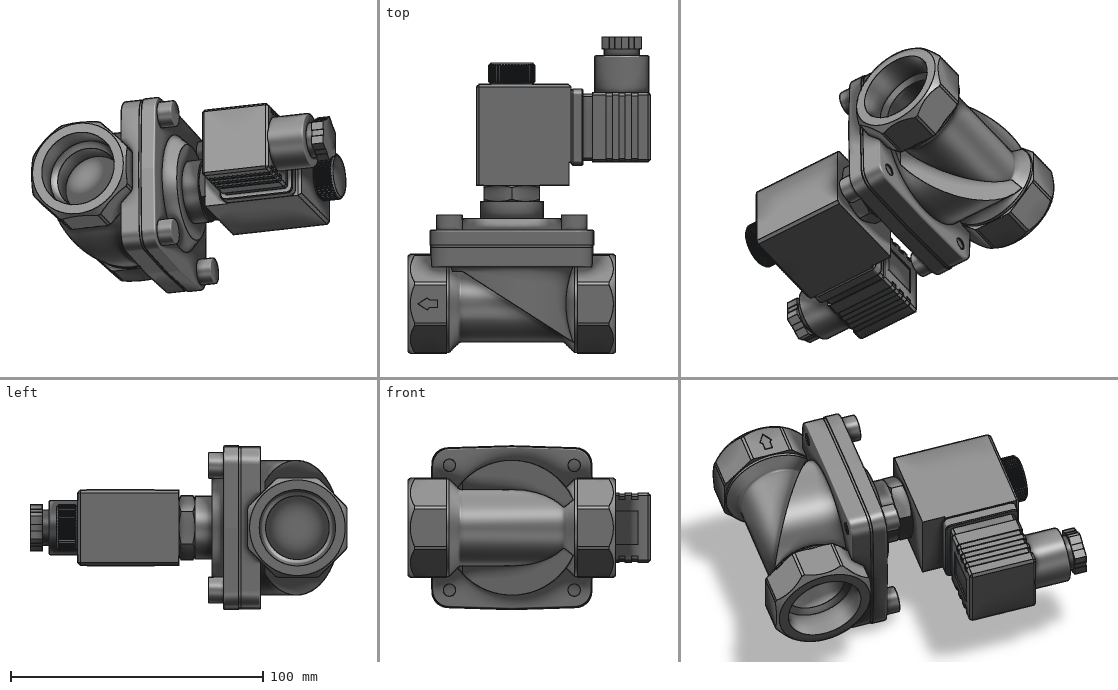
import cadquery as cq
import math


PORT_HALF_LENGTH = 41.1
PORT_LENGTH = 15.2
PORT_ACROSS_FLATS = 39.4
PORT_EDGE_RADIUS = 21.1
PORT_FACE_RADIUS = 19.0
PORT_CHAMFER_LENGTH = 2.6
PORT_COLLAR_RADIUS = 19.3
PORT_COLLAR_LENGTH = 1.1
PIPE_RADIUS = 15.12
PIPE_CONE_LENGTH = 4.3
PIPE_CONE_BLEND = 0.5
BORE_DIAMETER = 25.2
BORE_MOUTH_DIAMETER = 30.2
BORE_MOUTH_DEPTH = 10.9
BORE_CONE_LENGTH = 1.5
BORE_DEPTH = 22.6

CHAMBER_DIAMETER = 53.5
CHAMBER_LEDGE_Y = 12.8
CHAMBER_SLOPE_START_X = -19.5
CHAMBER_SLOPE_END = (24.6, -15.4)

COVER_HALF_WIDTH = 32.5
FLANGE_HALF_WIDTH = 32.2
SEAM_HALF_WIDTH = 32.1
FLANGE_BOW = 1.0
FLANGE_CORNER_RADIUS = 6.5
FLANGE_EDGE = 0.8
FLANGE_BOTTOM_Y = 14.5
FLANGE_TOP_Y = 22.3
COVER_BOTTOM_Y = 23.3
COVER_TOP_Y = 29.2

DOME_BASE_RADIUS = 23.5
DOME_TOP_RADIUS = 19.1
DOME_TOP_Y = 33.9
NECK_DIAMETER = 25.0
NECK_TOP_Y = 40.5
HEX_ACROSS_FLATS = 22.1
HEX_CHAMFER = 0.9

SCREW_OFFSET = 24.7
SCREW_HEAD_DIAMETER = 10.3
SCREW_HEAD_TOP_Y = 35.3
SCREW_HEAD_EDGE = 0.5
SCREW_HOLE_DIAMETER = 4.9
SCREW_HOLE_DEPTH = 0.5

ARROW_TIP_X = -37.3
ARROW_HEAD_X = -33.5
ARROW_NECK_X = -32.6
ARROW_TAIL_X = -29.5
ARROW_HEAD_HALF_WIDTH = 2.4
ARROW_SHAFT_HALF_WIDTH = 1.5
ARROW_DEPTH = 0.3

COIL_LEFT_X = -14.0
COIL_RIGHT_X = 22.7
COIL_BOTTOM_Y = 46.9
COIL_TOP_Y = 87.0
COIL_WIDTH = 29.9
COIL_CHAMFER = 1.1
PAD_THICKNESS = 0.8
PAD_BOTTOM_Y = 56.1

KNOB_RADIUS = 9.2
KNOB_HEIGHT = 8.4
KNOB_TEETH = 44
KNOB_TOOTH_DEPTH = 0.4
KNOB_CHAMFER = 1.0

PLUG_CENTRE_Y = 70.0
GASKET_THICKNESS = 4.6
GASKET_SIZE = 30.2
GASKET_CORNER = 2.4
GASKET_CHAMFER = 0.8
GASKET_REAR_CHAMFER = 0.4
SPIGOT_LENGTH = 3.9
SPIGOT_SIZE = 26.3
SHELL_RIGHT_X = 55.0
SHELL_SIZE = 27.6
SHELL_CHAMFER = 1.0
GROOVE_FIRST_X = 37.4
GROOVE_PITCH = 5.0
GROOVE_WIDTH = 2.5
GROOVE_COUNT = 3
GROOVE_DEPTH = 0.4
GROOVE_INNER_Z = 11.2
RECESS_LEFT_X = 34.7
RECESS_RIGHT_X = 49.9
RECESS_WIDTH = 13.3
RECESS_DEPTH = 0.6

GLAND_X = 43.5
BARREL_DIAMETER = 21.6
BARREL_TOP_Y = 98.4
BARREL_FILLET = 0.8
GLAND_NECK_DIAMETER = 14.0
GLAND_NUT_BOTTOM_Y = 101.0
GLAND_NUT_TOP_Y = 105.8
GLAND_NUT_ACROSS_FLATS = 15.8
GLAND_NUT_SLOT_WIDTH = 2.5
GLAND_NUT_SLOT_DEPTH = 0.3


def level(y, x=0):
    """Horizontal workplane at height y, drawn in (X, Z); a negative extrusion goes up."""
    return cq.Workplane("XZ", origin=(x, y, 0))


def upright_cylinder(diameter, bottom_y, top_y, x=0):
    return level(bottom_y, x).circle(diameter / 2).extrude(bottom_y - top_y)


def upright_hexagon(across_flats, bottom_y, top_y, x=0):
    """Hexagonal prism with flats facing -X and +X."""
    corner_diameter = across_flats / math.cos(math.pi / 6)
    prism = level(bottom_y).polygon(6, corner_diameter).extrude(bottom_y - top_y)
    return prism.rotate((0, 0, 0), (0, 1, 0), 30).translate((x, 0, 0))


def along_x(left_x, right_x, centre_y, height, width):
    """Block from left_x to right_x, centred on centre_y and Z = 0."""
    block = cq.Workplane("YZ", origin=(left_x, centre_y, 0))
    return block.rect(height, width).extrude(right_x - left_x)


def port_end():
    """Turned and octagonal end on the -X side, with its cone down to the pipe."""
    face_x = -PORT_HALF_LENGTH
    inner_x = face_x + PORT_LENGTH
    cone_x = inner_x + PORT_COLLAR_LENGTH
    pipe_x = cone_x + PIPE_CONE_LENGTH
    slope = math.atan2(PORT_COLLAR_RADIUS - PIPE_RADIUS, PIPE_CONE_LENGTH)
    turned = (
        cq.Workplane("XY")
        .moveTo(face_x, 0)
        .lineTo(face_x, PORT_FACE_RADIUS)
        .lineTo(face_x + PORT_CHAMFER_LENGTH, PORT_EDGE_RADIUS)
        .lineTo(inner_x, PORT_EDGE_RADIUS)
        .lineTo(inner_x, 0)
        .close()
        .revolve(360, (0, 0, 0), (1, 0, 0))
    )
    octagon = (
        cq.Workplane("YZ", origin=(face_x, 0, 0))
        .polygon(8, PORT_ACROSS_FLATS / math.cos(math.pi / 8))
        .extrude(PORT_LENGTH)
        .rotate((0, 0, 0), (1, 0, 0), 22.5)
    )
    cone = (
        cq.Workplane("XY")
        .moveTo(inner_x, 0)
        .lineTo(inner_x, PORT_COLLAR_RADIUS)
        .lineTo(cone_x, PORT_COLLAR_RADIUS)
        .lineTo(pipe_x - PIPE_CONE_BLEND * math.cos(slope), PIPE_RADIUS + PIPE_CONE_BLEND * math.sin(slope))
        .tangentArcPoint((pipe_x + PIPE_CONE_BLEND, PIPE_RADIUS), relative=False)
        .lineTo(pipe_x + PIPE_CONE_BLEND, 0)
        .close()
        .revolve(360, (0, 0, 0), (1, 0, 0))
    )
    return turned.intersect(octagon).union(cone)


def port_bore():
    """Blind bore of the -X port: a wide mouth that tapers to a narrower end."""
    face_x = -PORT_HALF_LENGTH
    mouth_radius = BORE_MOUTH_DIAMETER / 2
    end_radius = BORE_DIAMETER / 2
    return (
        cq.Workplane("XY")
        .moveTo(face_x, 0)
        .lineTo(face_x, mouth_radius)
        .lineTo(face_x + BORE_MOUTH_DEPTH, mouth_radius)
        .lineTo(face_x + BORE_MOUTH_DEPTH + BORE_CONE_LENGTH, end_radius)
        .lineTo(face_x + BORE_DEPTH, end_radius)
        .lineTo(face_x + BORE_DEPTH, 0)
        .close()
        .revolve(360, (0, 0, 0), (1, 0, 0))
    )


def chamber():
    """Round chamber under the flange, cut off by a slope that meets the pipe."""
    radius = CHAMBER_DIAMETER / 2
    end_x, end_y = CHAMBER_SLOPE_END
    side = (
        cq.Workplane("XY")
        .polyline([
            (-radius, FLANGE_BOTTOM_Y),
            (-radius, CHAMBER_LEDGE_Y),
            (CHAMBER_SLOPE_START_X, CHAMBER_LEDGE_Y),
            (end_x, end_y),
            (radius, end_y),
            (radius, FLANGE_BOTTOM_Y),
        ])
        .close()
        .extrude(radius, both=True)
    )
    return side.intersect(upright_cylinder(CHAMBER_DIAMETER, CHAMBER_SLOPE_END[1], FLANGE_BOTTOM_Y))


def flange_plate(half_width, bottom_y, top_y):
    """Square plate whose sides bow out slightly to a ridge in the middle."""
    middle = half_width
    corner = middle - FLANGE_BOW
    outline = [
        (middle, 0), (corner, corner), (0, middle), (-corner, corner),
        (-middle, 0), (-corner, -corner), (0, -middle), (corner, -corner),
    ]
    plate = level(bottom_y).polyline(outline).close().extrude(bottom_y - top_y)
    for x in (-corner, corner):
        for z in (-corner, corner):
            near_corner = cq.selectors.NearestToPointSelector((x, (bottom_y + top_y) / 2, z))
            plate = plate.edges("|Y").edges(near_corner).fillet(FLANGE_CORNER_RADIUS)
    return plate


def dome():
    cone = cq.Solid.makeCone(
        DOME_BASE_RADIUS, DOME_TOP_RADIUS, DOME_TOP_Y - COVER_TOP_Y,
        cq.Vector(0, COVER_TOP_Y, 0), cq.Vector(0, 1, 0),
    )
    return cq.Workplane(cone)


def neck():
    """Round neck and the chamfered hexagon on which the coil rests."""
    hexagon = upright_hexagon(HEX_ACROSS_FLATS, NECK_TOP_Y, COIL_BOTTOM_Y)
    envelope = upright_cylinder(HEX_ACROSS_FLATS / math.cos(math.pi / 6), NECK_TOP_Y, COIL_BOTTOM_Y)
    hexagon = hexagon.intersect(envelope.faces("<Y or >Y").chamfer(HEX_CHAMFER, 2 * HEX_CHAMFER))
    return upright_cylinder(NECK_DIAMETER, DOME_TOP_Y, NECK_TOP_Y).union(hexagon)


def screw_spots():
    return [(x, z) for x in (-SCREW_OFFSET, SCREW_OFFSET) for z in (-SCREW_OFFSET, SCREW_OFFSET)]


def screw_heads():
    heads = level(COVER_TOP_Y).pushPoints(screw_spots()).circle(SCREW_HEAD_DIAMETER / 2)
    return heads.extrude(COVER_TOP_Y - SCREW_HEAD_TOP_Y).faces(">Y").edges().fillet(SCREW_HEAD_EDGE)


def screw_holes():
    holes = level(FLANGE_BOTTOM_Y).pushPoints(screw_spots()).circle(SCREW_HOLE_DIAMETER / 2)
    return holes.extrude(-SCREW_HOLE_DEPTH)


def flow_arrow():
    """Arrow sunk in the +Z flat of the -X port, pointing to -X."""
    upper_half = [
        (ARROW_HEAD_X, ARROW_HEAD_HALF_WIDTH),
        (ARROW_NECK_X, ARROW_SHAFT_HALF_WIDTH),
        (ARROW_TAIL_X, ARROW_SHAFT_HALF_WIDTH),
    ]
    lower_half = [(x, -y) for x, y in reversed(upper_half)]
    arrow = cq.Workplane("XY", origin=(0, 0, PORT_ACROSS_FLATS / 2))
    return arrow.polyline([(ARROW_TIP_X, 0)] + upper_half + lower_half).close().extrude(-ARROW_DEPTH)


def make_valve():
    pipe = cq.Workplane("YZ").circle(PIPE_RADIUS).extrude(PORT_HALF_LENGTH - PORT_LENGTH, both=True)
    flange = flange_plate(FLANGE_HALF_WIDTH, FLANGE_BOTTOM_Y, FLANGE_TOP_Y)
    flange = flange.faces("<Y").edges().fillet(FLANGE_EDGE)
    seam = flange_plate(SEAM_HALF_WIDTH, FLANGE_TOP_Y, COVER_BOTTOM_Y)
    cover = flange_plate(COVER_HALF_WIDTH, COVER_BOTTOM_Y, COVER_TOP_Y)
    cover = cover.faces(">Y").edges().fillet(FLANGE_EDGE)
    valve = pipe.union(chamber()).union(flange).union(seam)
    valve = valve.union(port_end()).union(port_end().mirror("YZ"))
    valve = valve.union(cover).union(dome()).union(neck()).union(screw_heads())
    valve = valve.cut(port_bore()).cut(port_bore().mirror("YZ"))
    return valve.cut(screw_holes()).cut(flow_arrow())


def knob():
    """Knurled knob on top of the coil."""
    root = KNOB_RADIUS - KNOB_TOOTH_DEPTH
    step = 2 * math.pi / KNOB_TEETH
    outline = []
    for tooth in range(KNOB_TEETH):
        for part, radius in ((0, root), (0.25, KNOB_RADIUS), (0.5, KNOB_RADIUS), (0.75, root)):
            angle = (tooth + part) * step
            outline.append((radius * math.cos(angle), radius * math.sin(angle)))
    teeth = level(COIL_TOP_Y).polyline(outline).close().extrude(-KNOB_HEIGHT)
    envelope = upright_cylinder(2 * KNOB_RADIUS, COIL_TOP_Y, COIL_TOP_Y + KNOB_HEIGHT)
    return teeth.intersect(envelope.edges().chamfer(KNOB_CHAMFER))


def make_coil():
    middle_y = (COIL_BOTTOM_Y + COIL_TOP_Y) / 2
    case = along_x(COIL_LEFT_X, COIL_RIGHT_X, middle_y, COIL_TOP_Y - COIL_BOTTOM_Y, COIL_WIDTH)
    pad_middle_y = (PAD_BOTTOM_Y + COIL_TOP_Y) / 2
    pad_right_x = COIL_RIGHT_X + PAD_THICKNESS
    pad = along_x(COIL_RIGHT_X, pad_right_x, pad_middle_y, COIL_TOP_Y - PAD_BOTTOM_Y, COIL_WIDTH)
    case = case.union(pad)
    case = case.edges(">Y or (<X and |Y)").chamfer(COIL_CHAMFER)
    return case.union(knob())


def grooves():
    """Shallow bands around the long edges of the shell, on its -Z and +Z sides."""
    inner = SHELL_SIZE - 2 * GROOVE_DEPTH
    bands = None
    for number in range(GROOVE_COUNT):
        start = GROOVE_FIRST_X + number * GROOVE_PITCH
        end = start + GROOVE_WIDTH
        core = along_x(start, end, PLUG_CENTRE_Y, inner, inner).edges("|X").chamfer(SHELL_CHAMFER)
        middle = along_x(start, end, PLUG_CENTRE_Y, SHELL_SIZE, 2 * GROOVE_INNER_Z)
        band = along_x(start, end, PLUG_CENTRE_Y, SHELL_SIZE, SHELL_SIZE).cut(core).cut(middle)
        bands = band if bands is None else bands.union(band)
    return bands


def gland():
    """Barrel, neck and slotted hexagonal nut of the cable entry."""
    barrel = upright_cylinder(BARREL_DIAMETER, PLUG_CENTRE_Y, BARREL_TOP_Y, GLAND_X)
    barrel = barrel.faces(">Y").edges().fillet(BARREL_FILLET)
    waist = upright_cylinder(GLAND_NECK_DIAMETER, BARREL_TOP_Y, GLAND_NUT_BOTTOM_Y, GLAND_X)
    nut = upright_hexagon(GLAND_NUT_ACROSS_FLATS, GLAND_NUT_BOTTOM_Y, GLAND_NUT_TOP_Y, GLAND_X)
    nut_height = GLAND_NUT_TOP_Y - GLAND_NUT_BOTTOM_Y
    nut_middle_y = (GLAND_NUT_TOP_Y + GLAND_NUT_BOTTOM_Y) / 2
    flat_x = GLAND_X + GLAND_NUT_ACROSS_FLATS / 2
    slot = cq.Workplane("XY").box(2 * GLAND_NUT_SLOT_DEPTH, nut_height, GLAND_NUT_SLOT_WIDTH)
    slot = slot.translate((flat_x, nut_middle_y, 0))
    for side in range(6):
        nut = nut.cut(slot.rotate((GLAND_X, 0, 0), (GLAND_X, 1, 0), 60 * side))
    return barrel.union(waist).union(nut)


def make_plug():
    gasket_x = COIL_RIGHT_X + PAD_THICKNESS
    spigot_x = gasket_x + GASKET_THICKNESS
    shell_x = spigot_x + SPIGOT_LENGTH
    gasket = along_x(gasket_x, spigot_x, PLUG_CENTRE_Y, GASKET_SIZE, GASKET_SIZE)
    gasket = gasket.edges("|X").fillet(GASKET_CORNER).faces("<X").edges().chamfer(GASKET_CHAMFER)
    gasket = gasket.faces(">X").edges().chamfer(GASKET_REAR_CHAMFER)
    spigot = along_x(spigot_x, shell_x, PLUG_CENTRE_Y, SPIGOT_SIZE, SPIGOT_SIZE)
    spigot = spigot.edges("|X").chamfer(SHELL_CHAMFER)
    shell = along_x(shell_x, SHELL_RIGHT_X, PLUG_CENTRE_Y, SHELL_SIZE, SHELL_SIZE)
    shell = shell.edges("|X or >X").chamfer(SHELL_CHAMFER).cut(grooves())
    recess_middle_y = PLUG_CENTRE_Y - SHELL_SIZE / 2 + RECESS_DEPTH / 2
    recess = along_x(RECESS_LEFT_X, RECESS_RIGHT_X, recess_middle_y, RECESS_DEPTH, RECESS_WIDTH)
    return gasket.union(spigot).union(shell).union(gland()).cut(recess)


valve = make_valve()
coil = make_coil()
plug = make_plug()
result = cq.Compound.makeCompound([valve.val(), coil.val(), plug.val()])